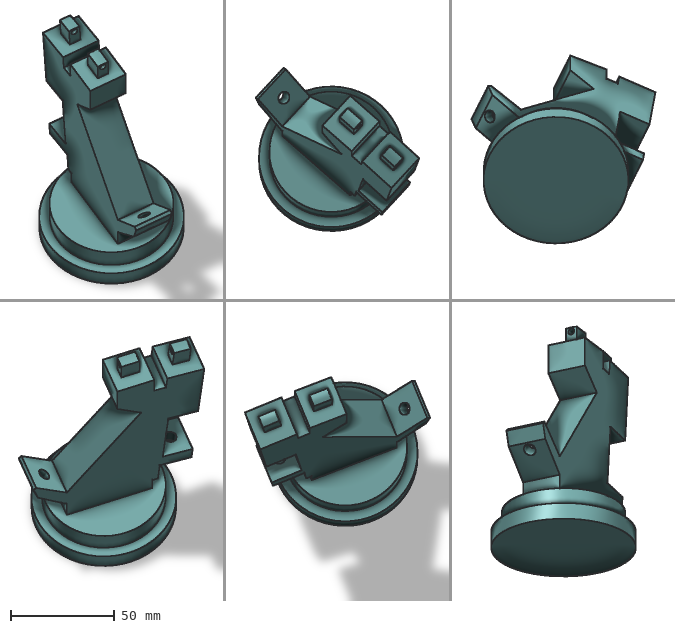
import cadquery as cq
import math

overall_height = 119.3

base_diameter = 70.0
base_height = 8.2
plinth_radius = 30.0
plinth_height = 10.0
plinth_top = base_height + plinth_height

body_thickness = 20.0
lean = 5.3

head_x = -48.2
head_z = 106.1
head_length = 19.2
head_height = 34.5
head_underside = 15.5
brow_depth = 7.4
brow_width = 5.8

crown_front = -22.3
crown_back = -3.2
crown_z = 110.0
crown_back_z = 95.2
neck_x = -15.5
neck_z = 85.7

paw_x = -42.2
paw_z = 40.8
paw_length = 15.6
paw_lower_length = 16.6
paw_thickness = 6.8

foot_x = -21.4
foot_root = 1.2
foot_z = plinth_top - foot_root
chest_x = -24.2
chest_z = 24.9
rump_x = 22.9

tail_root_z = 37.2
tail_tip_x = 38.8
tail_tip_z = 49.5
tail_end_x = 40.2
tail_end_z = 48.1
tail_heel_x = 38.0
tail_heel_z = 40.7
tail_underside_z = 27.6

ear_thickness = 6.0
ear_dome = 0.2
ear_hole_diameter = 3.2
ear_hole_drop = 2.3
front_ear_length = 8.7
front_ear_height = 9.7
front_ear_setback = 5.1
rear_ear_length = 9.4
rear_ear_x = -17.4
rear_ear_height = overall_height - crown_z
ear_root = 1.2

limb_hole_diameter = 6.0


def leaning(x, z, along, up):
    """Point offset from (x, z), measured along the leaning head or paw axes."""
    angle = math.radians(lean)
    return (
        x + along * math.cos(angle) - up * math.sin(angle),
        z + along * math.sin(angle) + up * math.cos(angle),
    )


def make_base():
    base = cq.Workplane("XY").circle(base_diameter / 2).extrude(base_height)
    return base.faces(">Z").workplane().circle(plinth_radius).extrude(plinth_height)


def make_body():
    head = [
        leaning(head_x, head_z, head_underside, -head_height),
        leaning(head_x, head_z, 0, -head_height),
        (head_x, head_z),
        leaning(head_x, head_z, head_length, 0),
        leaning(head_x, head_z, head_length, -brow_depth),
    ]
    brow_end_z = leaning(*head[-1], brow_width, 0)[1]
    crown = [
        (crown_front, brow_end_z),
        (crown_front, crown_z),
        (crown_back, crown_z),
        (crown_back, crown_back_z),
        (neck_x, neck_z),
    ]
    tail = [
        (rump_x, tail_root_z),
        (tail_tip_x, tail_tip_z),
        (tail_end_x, tail_end_z),
        (tail_heel_x, tail_heel_z),
        (rump_x, tail_underside_z),
    ]
    foot = [
        (rump_x, foot_z),
        (foot_x, foot_z),
        (foot_x, chest_z),
        (chest_x, chest_z),
    ]
    paw = [
        leaning(paw_x, paw_z, paw_lower_length, -paw_thickness),
        leaning(paw_x, paw_z, 0, -paw_thickness),
        (paw_x, paw_z),
        leaning(paw_x, paw_z, paw_length, 0),
    ]
    outline = head + crown + tail + foot + paw
    return cq.Workplane("XZ").polyline(outline).close().extrude(body_thickness / 2, both=True)


def make_ear(length, height, x, z, tilt):
    """Ear whose lower front edge is at (x, z), running along +X before tilting."""
    half = ear_thickness / 2
    ear = (
        cq.Workplane("YZ")
        .moveTo(-half, -ear_root)
        .lineTo(half, -ear_root)
        .lineTo(half, height - ear_dome)
        .threePointArc((0, height), (-half, height - ear_dome))
        .close()
        .moveTo(0, height - ear_hole_drop)
        .circle(ear_hole_diameter / 2)
        .extrude(length)
    )
    return ear.rotate((0, 0, 0), (0, 1, 0), -tilt).translate((x, 0, z))


def make_limb_drill(x, z, tilt, depth):
    """Cylinder reaching depth to either side of (x, z), square to a limb sloping at tilt."""
    drill = cq.Workplane("XY").circle(limb_hole_diameter / 2).extrude(depth, both=True)
    return drill.rotate((0, 0, 0), (0, 1, 0), -tilt).translate((x, 0, z))


front_ear_base = leaning(head_x, head_z, front_ear_setback, 0)
front_ear = make_ear(front_ear_length, front_ear_height, *front_ear_base, lean)
rear_ear = make_ear(rear_ear_length, rear_ear_height, rear_ear_x, crown_z, 0)

paw_hole = leaning(paw_x, paw_z, paw_length / 2, 0)
paw_drill = make_limb_drill(*paw_hole, lean, 2 * paw_thickness)

tail_run = tail_tip_x - rump_x
tail_rise = tail_tip_z - tail_root_z
tail_slope = math.degrees(math.atan2(tail_rise, tail_run))
tail_hole_x = (rump_x + tail_tip_x) / 2
tail_hole_z = (tail_root_z + tail_tip_z) / 2
tail_drill_depth = tail_root_z - tail_underside_z
tail_drill = make_limb_drill(tail_hole_x, tail_hole_z, tail_slope, tail_drill_depth)

result = make_base().union(make_body()).union(front_ear).union(rear_ear)
result = result.cut(paw_drill).cut(tail_drill)